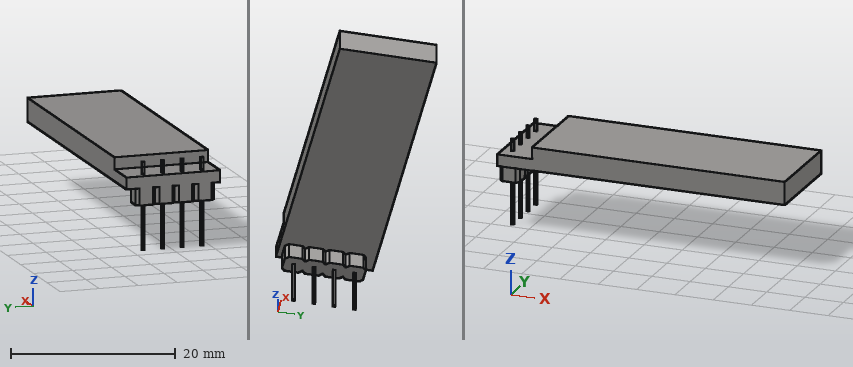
import cadquery as cq

board_length = 37.55
board_width = 12
board_thickness = 1.5

display_start = 4.55
display_thickness = 1.5

pin_count = 4
pin_pitch = 2.5
cell_chamfer = 0.4
header_height = 2.15
header_x = pin_pitch / 2
header_offset_y = -0.3

pin_side = 0.3
overall_height = 11.0
pin_top = board_thickness + display_thickness
pin_bottom = pin_top - overall_height


def corner_box(length, width, height):
    return cq.Workplane("XY").box(length, width, height, centered=False)


def pin_y(index):
    """Y of a pin, counted from the -Y end of the row."""
    row_center = board_width / 2 + header_offset_y
    return row_center + (index - (pin_count - 1) / 2) * pin_pitch


def header_cell(y):
    return (
        cq.Workplane("XY", origin=(header_x, y, -header_height))
        .rect(pin_pitch, pin_pitch)
        .extrude(header_height)
        .edges("|Z")
        .chamfer(cell_chamfer)
    )


def pin(y):
    return (
        cq.Workplane("XY", origin=(header_x, y, pin_bottom))
        .rect(pin_side, pin_side)
        .extrude(overall_height)
    )


board = corner_box(board_length, board_width, board_thickness)
display = corner_box(board_length - display_start, board_width, display_thickness)
display = display.translate((display_start, 0, board_thickness))

result = board.union(display)
for index in range(pin_count):
    y = pin_y(index)
    result = result.union(header_cell(y)).union(pin(y))